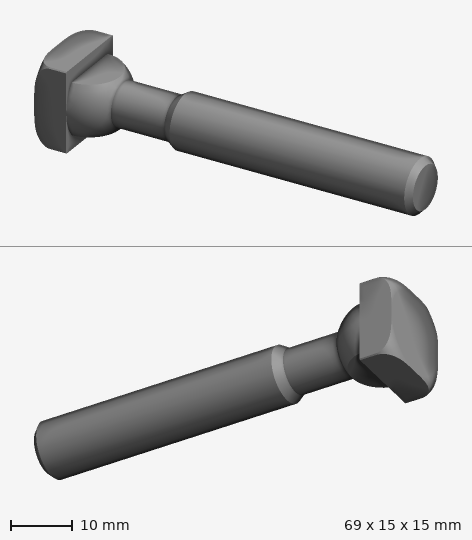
import cadquery as cq
import math

length = 69.0
head_width = 15.0
head_thickness = 6.0
head_corner_round = 3.0

collar_radius = head_width / 2
collar_height = 9.65

neck_diameter = 8.0
shank_diameter = 10.0
shank_start = 23.95
shoulder_angle = 32.0
end_chamfer = 1.05

neck_radius = neck_diameter / 2
shank_radius = shank_diameter / 2
shoulder_length = (shank_radius - neck_radius) / math.tan(math.radians(shoulder_angle))
shoulder_start = shank_start - shoulder_length


def make_head():
    """Square head with its corners trimmed by a round-edged disc."""
    block = cq.Workplane("YZ").rect(head_width, head_width).extrude(head_thickness)
    disc_radius = head_width / 2 + head_corner_round
    disc = (
        cq.Workplane("YZ")
        .circle(disc_radius)
        .extrude(head_thickness)
        .faces("<X")
        .edges()
        .fillet(head_corner_round)
    )
    return block.intersect(disc)


def make_collar():
    """Half ball centred on the rear face of the head, cut to the collar height."""
    ball = cq.Workplane("XY").sphere(collar_radius)
    slab = cq.Workplane("XY").box(
        collar_radius, 2 * collar_radius, collar_height, centered=(False, True, True)
    )
    return ball.intersect(slab).translate((head_thickness, 0, 0))


def make_stem():
    """Neck, shoulder and chamfered shank turned about the X axis."""
    return (
        cq.Workplane("XY")
        .moveTo(head_thickness, 0)
        .lineTo(head_thickness, neck_radius)
        .lineTo(shoulder_start, neck_radius)
        .lineTo(shank_start, shank_radius)
        .lineTo(length - end_chamfer, shank_radius)
        .lineTo(length, shank_radius - end_chamfer)
        .lineTo(length, 0)
        .close()
        .revolve(360, (0, 0, 0), (1, 0, 0))
    )


result = make_head().union(make_collar()).union(make_stem())